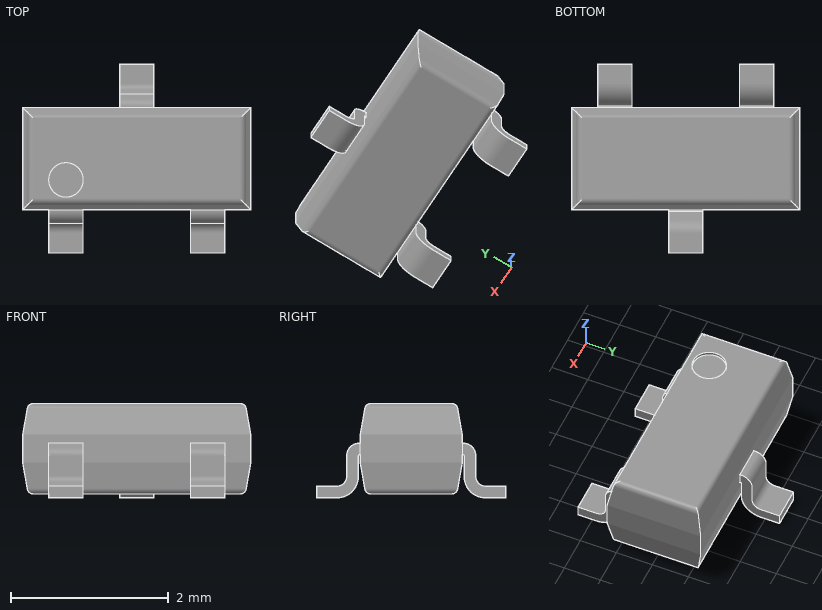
import cadquery as cq
import math

body_length = 2.9
body_width = 1.3
body_bottom = 0.05
body_top = 1.2
band_height = 0.357
draft_angle = 10.0
edge_radius = 0.08
half_height = (body_top - body_bottom - band_height) / 2
band_bottom = body_bottom + half_height
band_top = band_bottom + band_height

lead_span = 2.4
lead_thickness = 0.15
lead_width = 0.438
lead_top = 0.695
shoulder_reach = 0.17
shoulder_radius = 0.16
root_depth = 0.15
heel_radius = 0.122
front_lead_offset = 0.9
lead_places = [(-front_lead_offset, -1), (front_lead_offset, -1), (0, 1)]

mark_diameter = 0.438
mark_y = -0.27
mark_depth = 0.05


def drafted_half(start, direction):
    """Tapered half of the housing, growing up (+1) or down (-1) from the band."""
    half = (
        cq.Workplane("XY")
        .rect(body_length, body_width)
        .extrude(half_height, taper=draft_angle)
        .faces(">Z")
        .edges()
        .fillet(edge_radius)
    )
    if direction < 0:
        half = half.mirror("XY")
    return half.translate((0, 0, start))


def make_housing():
    band = (
        cq.Workplane("XY")
        .workplane(offset=band_bottom)
        .rect(body_length, body_width)
        .extrude(band_height)
    )
    mark = (
        cq.Workplane("XY")
        .workplane(offset=body_top - mark_depth)
        .center(-front_lead_offset, mark_y)
        .circle(mark_diameter / 2)
        .extrude(mark_depth)
    )
    housing = band.union(drafted_half(band_top, 1)).union(drafted_half(band_bottom, -1))
    housing = housing.cut(mark)
    for x_center, side in lead_places:
        housing = housing.cut(make_root_slot(x_center, side))
    return housing.solids()


def make_root_slot(x_center, side):
    """Volume of the slot that a lead root fills in the housing flank."""
    y_center = side * (body_width - root_depth) / 2
    z_center = lead_top - lead_thickness / 2
    slot = cq.Workplane("XY").box(lead_width, root_depth, lead_thickness)
    return slot.translate((x_center, y_center, z_center))


def make_lead(x_center, side):
    """Lead at x_center, on the +Y (side = 1) or -Y (side = -1) flank."""
    face = body_width / 2
    toe = lead_span / 2
    root = face - root_depth
    leg_outer = face + shoulder_reach
    bend_y = leg_outer - shoulder_radius
    leg_inner = leg_outer - lead_thickness
    shoulder_inner_radius = shoulder_radius - lead_thickness
    heel_outer_radius = heel_radius + lead_thickness
    shoulder_z = lead_top - shoulder_radius
    heel_y = leg_outer + heel_radius
    heel_z = lead_thickness + heel_radius
    diagonal = math.sqrt(0.5)

    profile = (
        cq.Workplane("YZ")
        .moveTo(root, lead_top)
        .lineTo(bend_y, lead_top)
        .threePointArc(
            (bend_y + shoulder_radius * diagonal, shoulder_z + shoulder_radius * diagonal),
            (leg_outer, shoulder_z),
        )
        .lineTo(leg_outer, heel_z)
        .threePointArc(
            (heel_y - heel_radius * diagonal, heel_z - heel_radius * diagonal),
            (heel_y, lead_thickness),
        )
        .lineTo(toe, lead_thickness)
        .lineTo(toe, 0)
        .lineTo(heel_y, 0)
        .threePointArc(
            (heel_y - heel_outer_radius * diagonal, heel_z - heel_outer_radius * diagonal),
            (leg_inner, heel_z),
        )
        .lineTo(leg_inner, shoulder_z)
        .threePointArc(
            (bend_y + shoulder_inner_radius * diagonal, shoulder_z + shoulder_inner_radius * diagonal),
            (bend_y, lead_top - lead_thickness),
        )
        .lineTo(root, lead_top - lead_thickness)
        .close()
    )
    lead = profile.extrude(lead_width / 2, both=True)
    if side < 0:
        lead = lead.mirror("XZ")
    return lead.translate((x_center, 0, 0))


housing = make_housing()
leads = [make_lead(x_center, side) for x_center, side in lead_places]

result = cq.Compound.makeCompound([housing.val(), *[lead.val() for lead in leads]])